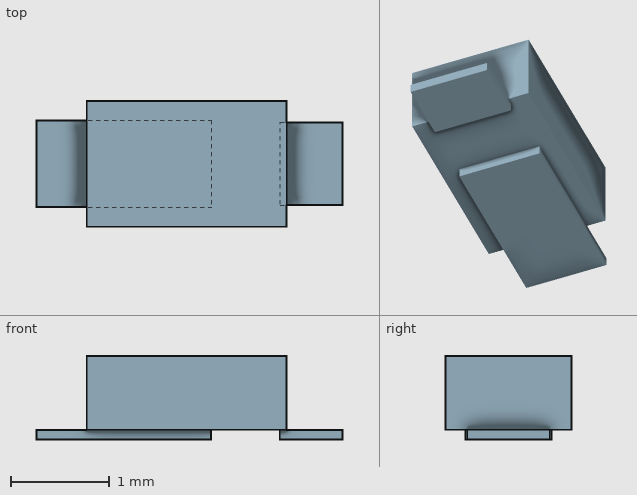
import cadquery as cq

BODY_LENGTH = 2.03
BODY_WIDTH = 1.28
BODY_HEIGHT = 0.75

LEAD_THICKNESS = 0.10
LEFT_LEAD_LENGTH = 1.775
LEFT_LEAD_WIDTH = 0.88
LEFT_LEAD_OVERHANG = 0.51
RIGHT_LEAD_LENGTH = 0.64
RIGHT_LEAD_WIDTH = 0.84
RIGHT_LEAD_OVERHANG = 0.57

LEFT_LEAD_END = -BODY_LENGTH / 2 - LEFT_LEAD_OVERHANG
RIGHT_LEAD_END = BODY_LENGTH / 2 + RIGHT_LEAD_OVERHANG


def make_block(start_x, length, width, bottom_z, height):
    """Rectangular block running along +X from start_x, centred on Y = 0."""
    block = cq.Workplane("XY").box(length, width, height, centered=(False, True, False))
    return block.translate((start_x, 0, bottom_z))


body = make_block(-BODY_LENGTH / 2, BODY_LENGTH, BODY_WIDTH, LEAD_THICKNESS, BODY_HEIGHT)

left_lead = make_block(LEFT_LEAD_END, LEFT_LEAD_LENGTH, LEFT_LEAD_WIDTH, 0, LEAD_THICKNESS)

right_lead = make_block(
    RIGHT_LEAD_END - RIGHT_LEAD_LENGTH, RIGHT_LEAD_LENGTH, RIGHT_LEAD_WIDTH, 0, LEAD_THICKNESS
)

result = cq.Compound.makeCompound([body.val(), left_lead.val(), right_lead.val()])